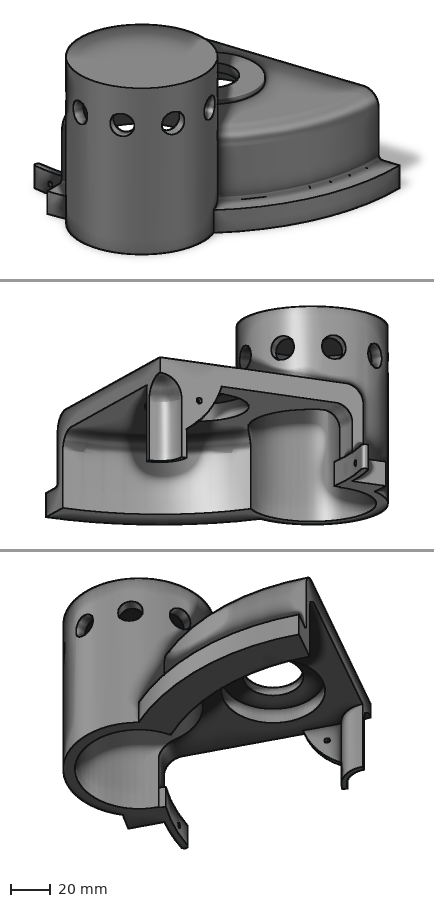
import cadquery as cq
import math

QUADRANT = 90
flange_radius = 127.0
flange_height = 12.6
wall_outer_radius = 114.2
wall_inner_radius = 108.2
plate_top = 50.7
plate_bottom = 39.9
shoulder_radius = 9.5
foot_fillet = 2.3

post_radius = 14.9
post_bore_radius = 12.2
post_bore_top = 42.6
post_bore_fillet = 11.9

rib_thickness = 2.9
rib_reach = 34.8
rib_foot_height = 15.0
rib_bulge_y = 27.5
rib_bulge_z = 26.2
pin_hole_diameter = 2.9
rib_hole_y = 22.1
rib_hole_z = 30.8

ring_x = 38.0
ring_y = -39.9
ring_diameter = 56.3
ring_top = 53.9
ring_fillet = 0.9
opening_diameter = 30.2
recess_diameter = 52.0
recess_top = 48.7

cup_x = 44.8
cup_y = -wall_inner_radius
cup_diameter = 76.1
cup_bore_diameter = 64.2
cup_height = 92.1
cup_roof = (cup_diameter - cup_bore_diameter) / 2
vent_diameter = 12.5
vent_z = 71.2
vent_count = 9

arm_thickness = 3.6
arm_end_x = 23.5
arm_overlap_x = 12.0
arm_hole_x = 11.7
arm_hole_z = 5.9


def cylinder(diameter, bottom, top, x=0.0, y=0.0):
    return cq.Workplane("XY", origin=(x, y, bottom)).circle(diameter / 2).extrude(top - bottom)


def quarter(profile):
    """Sweep a closed radius-height profile from the X = 0 face to the Y = 0 face."""
    return profile.close().revolve(QUADRANT, (0, 0), (0, 1)).rotate((0, 0, 0), (0, 0, 1), -QUADRANT)


def rounded_quarter(radius, top, corner):
    """Quarter cylinder standing on Z = 0 with a rounded upper rim."""
    diagonal = corner * math.sqrt(0.5)
    profile = (
        cq.Workplane("XZ")
        .lineTo(radius, 0)
        .lineTo(radius, top - corner)
        .threePointArc(
            (radius - corner + diagonal, top - corner + diagonal),
            (radius - corner, top),
        )
        .lineTo(0, top)
    )
    return quarter(profile)


def flange():
    fillet_radius = wall_outer_radius + foot_fillet
    fillet_top = flange_height + foot_fillet
    offset = foot_fillet * math.sqrt(0.5)
    profile = (
        cq.Workplane("XZ")
        .lineTo(flange_radius, 0)
        .lineTo(flange_radius, flange_height)
        .lineTo(fillet_radius, flange_height)
        .threePointArc(
            (fillet_radius - offset, fillet_top - offset),
            (wall_outer_radius, fillet_top),
        )
        .lineTo(0, fillet_top)
    )
    return quarter(profile)


def post():
    profile = (
        cq.Workplane("XZ")
        .lineTo(post_radius, 0)
        .lineTo(post_radius, plate_top)
        .lineTo(0, plate_top)
    )
    return quarter(profile)


def rib():
    body = (
        cq.Workplane("YZ")
        .moveTo(-post_bore_radius, rib_foot_height)
        .lineTo(-post_radius, rib_foot_height)
        .threePointArc((-rib_bulge_y, rib_bulge_z), (-rib_reach, plate_bottom))
        .lineTo(-rib_reach, plate_top)
        .lineTo(-post_bore_radius, plate_top)
        .close()
        .extrude(rib_thickness)
    )
    hole = (
        cq.Workplane("YZ")
        .center(-rib_hole_y, rib_hole_z)
        .circle(pin_hole_diameter / 2)
        .extrude(rib_thickness)
    )
    return body.cut(hole)


def arm():
    middle_radius = wall_inner_radius - arm_thickness / 2
    tip_x = arm_end_x - arm_thickness / 2
    tip_angle = math.asin(tip_x / middle_radius)
    root_angle = -math.asin(arm_overlap_x / middle_radius)

    def arc_point(radius, angle):
        return (-radius * math.sin(angle), -radius * math.cos(angle))

    inner_radius = wall_inner_radius - arm_thickness
    middle_angle = (tip_angle + root_angle) / 2
    strip = (
        cq.Workplane("XY")
        .moveTo(*arc_point(inner_radius, root_angle))
        .threePointArc(arc_point(inner_radius, middle_angle), arc_point(inner_radius, tip_angle))
        .lineTo(*arc_point(wall_inner_radius, tip_angle))
        .threePointArc(
            arc_point(wall_inner_radius, middle_angle),
            arc_point(wall_inner_radius, root_angle),
        )
        .close()
        .extrude(flange_height)
    )
    tip = cylinder(arm_thickness, 0, flange_height, *arc_point(middle_radius, tip_angle))
    hole = (
        cq.Workplane("XZ")
        .center(-arm_hole_x, arm_hole_z)
        .circle(pin_hole_diameter / 2)
        .extrude(flange_radius)
    )
    return strip.union(tip).cut(hole)


def vents():
    """Radial holes spread evenly around the cup, the first one facing the housing (+Y)."""
    first = (
        cq.Workplane("XZ", origin=(cup_x, cup_y, vent_z))
        .circle(vent_diameter / 2)
        .extrude(-cup_diameter)
    )
    holes = cq.Workplane("XY")
    for index in range(vent_count):
        angle = index * 360 / vent_count
        holes.add(first.rotate((cup_x, cup_y, 0), (cup_x, cup_y, 1), angle))
    return holes


shell = rounded_quarter(wall_outer_radius, plate_top, shoulder_radius).union(flange())
body = shell.union(cylinder(cup_diameter, 0, cup_height, cup_x, cup_y))
body = body.cut(rounded_quarter(wall_inner_radius, plate_bottom, shoulder_radius))
body = body.cut(cylinder(cup_bore_diameter, 0, cup_height - cup_roof, cup_x, cup_y))
for vent in vents().vals():
    body = body.cut(cq.Workplane(vent))

ring = cylinder(ring_diameter, plate_bottom, ring_top, ring_x, ring_y).faces(">Z").fillet(ring_fillet)
body = body.union(ring)
body = body.cut(cylinder(opening_diameter, 0, ring_top, ring_x, ring_y))
body = body.cut(cylinder(recess_diameter, 0, recess_top, ring_x, ring_y))

body = body.union(post()).union(rib())
body = body.cut(rounded_quarter(post_bore_radius, post_bore_top, post_bore_fillet))
result = body.union(arm())